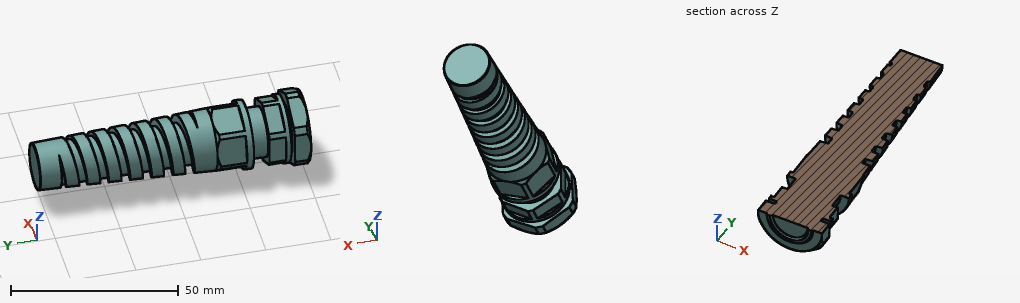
import cadquery as cq
import math


NUT_START = 0.5
NUT_END = NUT_START + 5.0
COLLAR_START = 6.5
COLLAR_END = 8.0
BODY_HEX_END = 13.0
FLANGE_START = 18.0
FLANGE_END = 20.1
CAP_END = 29.0
GROOVE_START = 33.8
GROOVE_END = 76.4
TOTAL_LENGTH = 83.0

THREAD_DIAMETER = 15.8
THREAD_CHAMFER = 0.4
RECESS_MOUTH_DIAMETER = 13.0
RECESS_FLOOR_DIAMETER = 11.7
RECESS_DEPTH = 0.65

NUT_FLATS = 21.8
NUT_CORNER_DIAMETER = 23.9
NUT_FACE_DIAMETER = 21.8
NUT_TURN = 2.9

BODY_DIAMETER = 21.0
NECK_DIAMETER = 15.5
BODY_HEX_FLATS = 19.0
CAP_HEX_FLATS = 18.9
CAP_TURN = 12.0

SLEEVE_BASE_DIAMETER = 19.0
SLEEVE_TIP_DIAMETER = 14.4
SLEEVE_SAG = 0.12
SLEEVE_TIP_CHAMFER = 0.2
CORE_DIAMETER = 13.24
GROOVE_FLOOR_WIDTH = 2.3
GROOVE_FLANK_ANGLE = 7.0
GROOVE_PITCH = 6.5
GROOVE_PHASE = 34.36

OVERLAP = 1.0


def cylinder(diameter, start, end):
    return cq.Workplane("XY").workplane(offset=start).circle(diameter / 2).extrude(end - start)


def cone(start_diameter, end_diameter, start, end):
    profile = [
        (0, start),
        (start_diameter / 2, start),
        (end_diameter / 2, end),
        (0, end),
    ]
    return cq.Workplane("XZ").polyline(profile).close().revolve(360, (0, 0, 0), (0, 1, 0))


def hexagon(flats, start, end, turn=0.0):
    """Hexagonal prism with corners on the Y axis, turned by the given degrees."""
    corner_diameter = flats / math.cos(math.pi / 6)
    prism = cq.Workplane("XY").workplane(offset=start).polygon(6, corner_diameter).extrude(end - start)
    return prism.rotate((0, 0, 0), (0, 0, 1), 30 + turn)


def make_thread():
    thread = cylinder(THREAD_DIAMETER, 0, COLLAR_START)
    return thread.faces("<Z").chamfer(THREAD_CHAMFER)


def make_locknut():
    """Hexagon nut with rounded corners and a 45 degree chamfer on its outer face."""
    chamfer = (NUT_CORNER_DIAMETER - NUT_FACE_DIAMETER) / 2
    blank = cylinder(NUT_CORNER_DIAMETER, NUT_START, NUT_END).faces("<Z").chamfer(chamfer)
    return blank.intersect(hexagon(NUT_FLATS, NUT_START, NUT_END, NUT_TURN))


def make_body():
    """Sealing collar, wrench hexagon with rounded corners and the neck above it."""
    collar = cylinder(BODY_DIAMETER, COLLAR_START, COLLAR_END)
    wrench_hex = cylinder(BODY_DIAMETER, COLLAR_END, BODY_HEX_END)
    wrench_hex = wrench_hex.intersect(hexagon(BODY_HEX_FLATS, COLLAR_END, BODY_HEX_END))
    neck = cylinder(NECK_DIAMETER, BODY_HEX_END, FLANGE_START)
    return collar.union(wrench_hex).union(neck)


def make_cap():
    """Round flange carrying a hexagon that is chamfered down to the sleeve."""
    chamfer = (BODY_DIAMETER - SLEEVE_BASE_DIAMETER) / 2
    flange = cylinder(BODY_DIAMETER, FLANGE_START, FLANGE_END)
    cap_hex = cylinder(BODY_DIAMETER, FLANGE_END, CAP_END).faces(">Z").chamfer(chamfer)
    cap_hex = cap_hex.intersect(hexagon(CAP_HEX_FLATS, FLANGE_END, CAP_END, CAP_TURN))
    return flange.union(cap_hex)


def make_groove():
    """Helical groove with sloping flanks that stops at flat shoulders at both ends."""
    start = GROOVE_PHASE - GROOVE_PITCH
    turns = math.ceil((GROOVE_END - start) / GROOVE_PITCH) + 1
    core_radius = CORE_DIAMETER / 2
    outer_radius = SLEEVE_BASE_DIAMETER / 2 + OVERLAP
    helix = cq.Wire.makeHelix(GROOVE_PITCH, turns * GROOVE_PITCH, core_radius, cq.Vector(0, 0, start))
    floor_half = GROOVE_FLOOR_WIDTH / 2
    mouth_half = floor_half + (outer_radius - core_radius) * math.tan(math.radians(GROOVE_FLANK_ANGLE))
    profile = [
        (core_radius, start - floor_half),
        (outer_radius, start - mouth_half),
        (outer_radius, start + mouth_half),
        (core_radius, start + floor_half),
    ]
    section = cq.Workplane("XZ").polyline(profile).close()
    coil = section.sweep(cq.Workplane(helix), isFrenet=True)
    return coil.intersect(cylinder(2 * outer_radius + OVERLAP, GROOVE_START, GROOVE_END))


def make_sleeve():
    """Slightly bowed taper with the spiral groove cut into it."""
    base_radius = SLEEVE_BASE_DIAMETER / 2
    tip_radius = SLEEVE_TIP_DIAMETER / 2
    chamfer_start = TOTAL_LENGTH - SLEEVE_TIP_CHAMFER
    middle = ((base_radius + tip_radius) / 2 - SLEEVE_SAG, (CAP_END + chamfer_start) / 2)
    sleeve = (
        cq.Workplane("XZ")
        .moveTo(0, CAP_END)
        .lineTo(base_radius, CAP_END)
        .threePointArc(middle, (tip_radius, chamfer_start))
        .lineTo(tip_radius - SLEEVE_TIP_CHAMFER, TOTAL_LENGTH)
        .lineTo(0, TOTAL_LENGTH)
        .close()
        .revolve(360, (0, 0, 0), (0, 1, 0))
    )
    return sleeve.cut(make_groove())


def make_recess():
    return cone(RECESS_MOUTH_DIAMETER, RECESS_FLOOR_DIAMETER, 0, RECESS_DEPTH)


gland = make_thread().union(make_locknut()).union(make_body()).union(make_cap()).union(make_sleeve())
gland = gland.cut(make_recess())

result = gland.rotate((0, 0, 0), (1, 0, 0), -90)